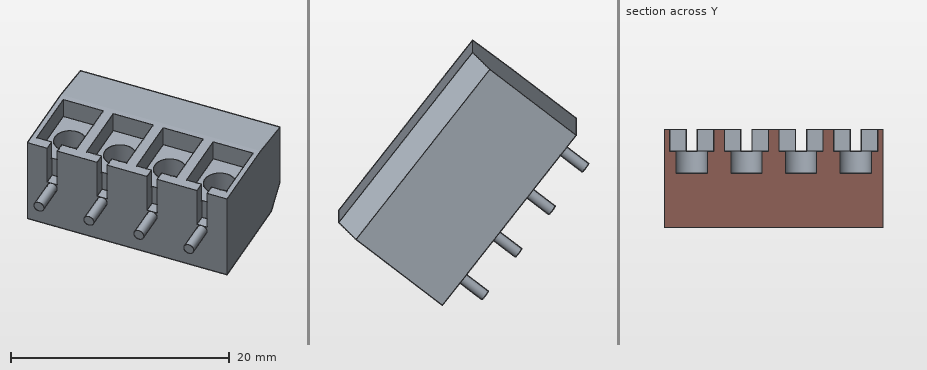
import math

import cadquery as cq

pole_count = 4
pitch = 5.0
length = pole_count * pitch
depth = 12.0
height = 9.0
back_chamfer = 2.0

slope_length = 4.5
slope_drop = 0.5
slope_run = math.sqrt(slope_length**2 - slope_drop**2)

pocket_width = 4.0
pocket_length = 6.0
pocket_depth = 2.0
front_wall = 1.0
screw_hole_diameter = 3.0
screw_hole_depth = 2.0

pin_diameter = 1.0
pin_length = 3.0
slot_width = pin_diameter
slot_depth = 4.0
slot_overcut = 0.1
slot_length = front_wall + slot_overcut

pocket_center_y = front_wall + pocket_length / 2
pocket_floor_z = height - pocket_depth
pin_axis_z = height - slot_depth - pin_diameter / 2
pole_positions = [(i + 0.5) * pitch - length / 2 for i in range(pole_count)]


def make_housing():
    """Side profile extruded along X, centred on X = 0."""
    profile = [
        (0, 0),
        (depth - back_chamfer, 0),
        (depth, back_chamfer),
        (depth, height - slope_drop),
        (depth - slope_run, height),
        (0, height),
    ]
    return cq.Workplane("YZ").polyline(profile).close().extrude(length / 2, both=True)


def make_pole_cut(x):
    """Pocket, screw hole and front slot of the pole at x."""
    pocket_floor = cq.Workplane("XY", origin=(x, pocket_center_y, pocket_floor_z))
    pocket = pocket_floor.rect(pocket_width, pocket_length).extrude(pocket_depth)
    screw_hole = pocket_floor.circle(screw_hole_diameter / 2).extrude(-screw_hole_depth)
    slot = (
        cq.Workplane("XY", origin=(x, slot_length / 2, height))
        .rect(slot_width, slot_length)
        .extrude(-slot_depth)
    )
    return pocket.union(screw_hole).union(slot)


def make_pin(x):
    """Round pin rooted in the front wall and running out past the front face."""
    return (
        cq.Workplane("XZ", origin=(x, front_wall, pin_axis_z))
        .circle(pin_diameter / 2)
        .extrude(front_wall + pin_length)
    )


result = make_housing()
for pole_x in pole_positions:
    result = result.cut(make_pole_cut(pole_x)).union(make_pin(pole_x))